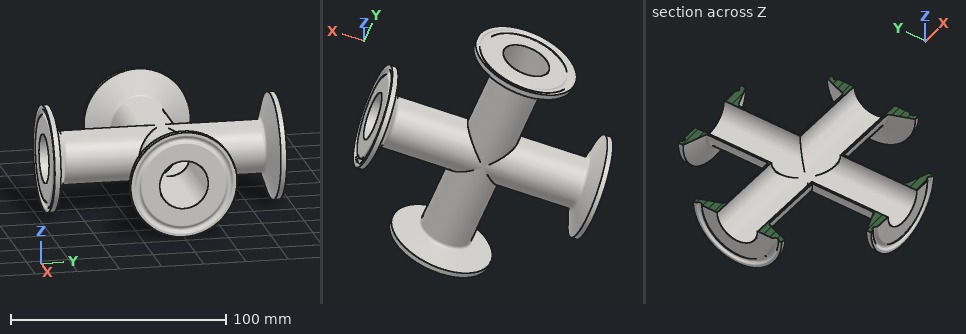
import cadquery as cq
import math

length = 110.0
tube_diameter = 25.4
bore_diameter = 23.0
flange_diameter = 50.5

rim_thickness = 2.9
cone_angle = 20.0
neck_fillet = 1.8

groove_diameter = 43.6
groove_width = 2.9
groove_depth = 1.2
groove_edge_fillet = 0.8

half_length = length / 2
tube_radius = tube_diameter / 2
flange_radius = flange_diameter / 2
branch_angles = (0, 90, 180, 270)


def along_branches(solid):
    """Join one solid, built along +X, with its copies on all four branches."""
    joined = solid
    for angle in branch_angles[1:]:
        joined = joined.union(solid.rotate((0, 0, 0), (0, 0, 1), angle))
    return joined


def revolve_about_x(profile):
    return profile.revolve(360, (0, 0, 0), (1, 0, 0))


def flange():
    """Clamp flange with a conical back, blended into the tube by a fillet arc."""
    slope = math.radians(cone_angle)
    rim_back = half_length - rim_thickness
    cone_end = rim_back - (flange_radius - tube_radius) * math.tan(slope)
    tangent = neck_fillet * math.tan((math.pi / 2 - slope) / 2)
    fillet_start = cone_end - tangent
    fillet_end = (cone_end + tangent * math.sin(slope), tube_radius + tangent * math.cos(slope))
    arc_middle_angle = (math.pi / 2 - slope) / 2
    fillet_middle = (
        fillet_start + neck_fillet * math.sin(arc_middle_angle),
        tube_radius + neck_fillet * (1 - math.cos(arc_middle_angle)),
    )
    profile = (
        cq.Workplane("XY")
        .moveTo(fillet_start, 0)
        .lineTo(fillet_start, tube_radius)
        .threePointArc(fillet_middle, fillet_end)
        .lineTo(rim_back, flange_radius)
        .lineTo(half_length, flange_radius)
        .lineTo(half_length, 0)
        .close()
    )
    return revolve_about_x(profile)


def gasket_groove():
    """Ring with a round bottom that cuts the groove in a flange face."""
    middle = groove_diameter / 2
    profile = (
        cq.Workplane("XY")
        .moveTo(half_length, middle - groove_width / 2)
        .threePointArc((half_length - groove_depth, middle), (half_length, middle + groove_width / 2))
        .close()
    )
    return revolve_about_x(profile)


def branch():
    """Solid branch from the centre of the cross to a finished flange face."""
    tube = cq.Workplane("YZ").circle(tube_radius).extrude(half_length - rim_thickness)
    grooved_flange = flange().cut(gasket_groove())
    reach = flange_radius - groove_edge_fillet
    groove_edges = cq.selectors.BoxSelector(
        (half_length - groove_edge_fillet / 2, -reach, -reach),
        (half_length + groove_edge_fillet / 2, reach, reach),
        boundingbox=True,
    )
    return tube.union(grooved_flange.edges(groove_edges).fillet(groove_edge_fillet))


bore = cq.Workplane("YZ").circle(bore_diameter / 2).extrude(half_length)

result = along_branches(branch()).cut(along_branches(bore))